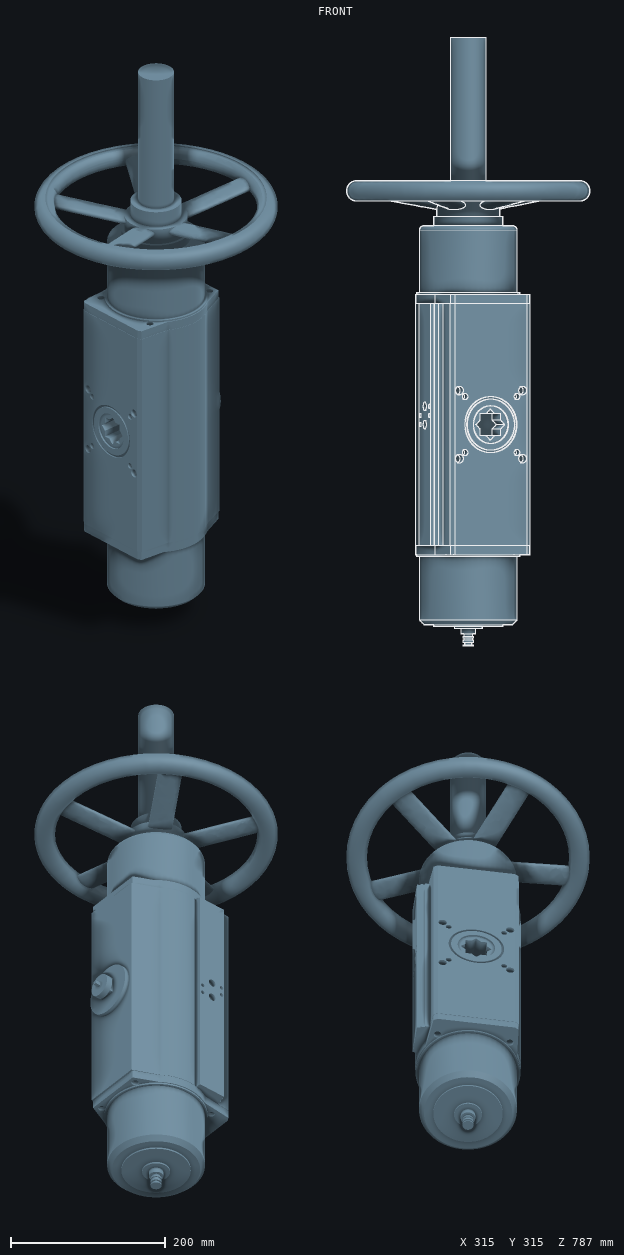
import cadquery as cq
import math

TURN = 22.0

HOUSING_BOTTOM = 118.0
HOUSING_TOP = 455.0
CAP_THICKNESS = 12.0
PORT_LEVEL = (HOUSING_BOTTOM + HOUSING_TOP) / 2
CYLINDER_TOP = 544.0
COLLAR_TOP = 556.0
HUB_SHOULDER = 577.0
HUB_TOP = 598.0
ROD_TOP = 787.0
CYLINDER_BOTTOM = 27.5

FRONT = 79.0
FRONT_HALF = 50.0
SHOULDER_HALF = 56.0
SHOULDER_FORWARD = 75.5
BARREL_RADIUS = 68.5
BARREL_FRONT = 33.0
BARREL_REAR = -40.0
FLAT_FORWARD = -29.0
REAR = -75.0
REAR_HALF = 40.0
CAP_REAR = -72.5
CAP_INSET = 0.4

PAD_ACROSS = -74.0
PAD_REAR = 12.5
PAD_FRONT = 53.0
PAD_CENTRE = 33.0
PAD_STEP = 1.5
PAD_STEP_ACROSS = (-69.0, -64.0)
RELIEF_ACROSS = -64.5
RELIEF_WIDTH = 5.5
PAD_PORT_LEVEL = 298.0
PAD_PORT_SPACING = 24.0
PAD_PORT_RADIUS = 5.5
PAD_PIN_OFFSET = 16.0
PAD_PIN_SPACING = 12.0
PAD_PIN_RADIUS = 2.75
PAD_HOLE_DEPTH = 6.0

RING_OUTER = 36.0
RING_INNER = 33.0
RING_DEPTH = 2.0
RECESS_RADIUS = 24.5
DRIVE_SIDE = 28.0
DRIVE_DEPTH = 31.5
OUTER_BOLT_OFFSET = 44.0
OUTER_BOLT_RADIUS = 5.5
INNER_BOLT_OFFSET = 36.0
INNER_BOLT_RADIUS = 4.0
BOLT_DEPTH = 12.0

DIAL_RADIUS = 35.5
DIAL_END = 81.0
NECK_SIDE = 22.0
KNOB_RADIUS = 16.0
KNOB_START = 86.5
KNOB_END = 95.0
TAB_SIDE = 5.0
TAB_END = 103.0

CAP_SCREW_PLACES = [(47.0, 53.5), (-47.0, 53.5), (34.0, -63.0), (-34.0, -63.0)]
CAP_SCREW_RADIUS = 5.0
CAP_SCREW_DEPTH = 6.0

CYLINDER_RADIUS = 127.0 / 2
CYLINDER_EDGE = 6.0
GASKET_RADIUS = 67.0
GASKET_THICKNESS = 2.0
COLLAR_RADIUS = 45.0

WHEEL_RADIUS = 157.5
RIM_RADIUS = 13.0
RIM_LEVEL = 589.0
RIM_STEP_RADIUS = 143.0
RIM_STEP_LEVEL = 600.5
HUB_RADIUS = 41.0
HUB_TOP_RADIUS = 33.0
ROD_RADIUS = 46.5 / 2
SPOKE_COUNT = 5
SPOKE_START_ANGLE = 26.5
SPOKE_HALF_WIDTH = 16.0
SPOKE_HALF_HEIGHT = 6.0
SPOKE_INNER = (31.5, 569.0)
SPOKE_OUTER = (135.0, 588.0)


def disc(radius, bottom, top):
    """Solid cylinder on the main axis between two levels."""
    return cq.Workplane("XY").workplane(offset=bottom).circle(radius).extrude(top - bottom)


def barrel_across(forward, radius=BARREL_RADIUS):
    """Half width of a round barrel at a given forward distance."""
    return math.sqrt(radius**2 - forward**2)


def flank_across(forward):
    """Half width on the straight flank between the barrel and the front shoulder."""
    foot = barrel_across(BARREL_FRONT)
    share = (forward - BARREL_FRONT) / (SHOULDER_FORWARD - BARREL_FRONT)
    return foot + share * (SHOULDER_HALF - foot)


def front_face(distance):
    """Plane parallel to the front face at a distance from the axis; local X is across, Y is up."""
    return cq.Workplane("XZ", origin=(0, -distance, PORT_LEVEL))


def rear_face(distance):
    """Plane parallel to the rear face at a distance behind the axis, facing backwards."""
    return cq.Workplane("XZ", origin=(0, distance, PORT_LEVEL))


def end_cap(bottom):
    """Cap with a section slightly inside the housing body, symmetric across the front."""
    radius = BARREL_RADIUS - CAP_INSET
    shoulder = SHOULDER_HALF - CAP_INSET
    front = FRONT - CAP_INSET
    front_across = barrel_across(BARREL_FRONT, radius)
    rear_across = barrel_across(BARREL_REAR, radius)
    return (
        cq.Workplane("XY").workplane(offset=bottom)
        .moveTo(-FRONT_HALF, -front)
        .lineTo(FRONT_HALF, -front)
        .lineTo(shoulder, -SHOULDER_FORWARD)
        .lineTo(front_across, -BARREL_FRONT)
        .threePointArc((radius, 0), (rear_across, -BARREL_REAR))
        .lineTo(REAR_HALF, -CAP_REAR)
        .lineTo(-REAR_HALF, -CAP_REAR)
        .lineTo(-rear_across, -BARREL_REAR)
        .threePointArc((-radius, 0), (-front_across, -BARREL_FRONT))
        .lineTo(-shoulder, -SHOULDER_FORWARD)
        .close()
        .extrude(CAP_THICKNESS)
    )


def housing_body():
    bottom = HOUSING_BOTTOM + CAP_THICKNESS
    height = HOUSING_TOP - HOUSING_BOTTOM - 2 * CAP_THICKNESS
    flat_across = barrel_across(FLAT_FORWARD)
    rear_across = barrel_across(BARREL_REAR)
    relief_rear = PAD_REAR - RELIEF_WIDTH
    relief_across = barrel_across(relief_rear)
    outline = (
        cq.Workplane("XY").workplane(offset=bottom)
        .moveTo(-FRONT_HALF, -FRONT)
        .lineTo(FRONT_HALF, -FRONT)
        .lineTo(SHOULDER_HALF, -SHOULDER_FORWARD)
        .lineTo(barrel_across(BARREL_FRONT), -BARREL_FRONT)
        .threePointArc((BARREL_RADIUS, 0), (flat_across, -FLAT_FORWARD))
        .lineTo(rear_across, -BARREL_REAR)
        .lineTo(REAR_HALF, -REAR)
        .lineTo(-REAR_HALF, -REAR)
        .lineTo(-rear_across, -BARREL_REAR)
        .lineTo(-flat_across, -FLAT_FORWARD)
        .threePointArc((-BARREL_RADIUS, 0), (-relief_across, -relief_rear))
        .lineTo(RELIEF_ACROSS, -PAD_REAR)
        .lineTo(PAD_ACROSS, -PAD_REAR)
    )
    forward = PAD_FRONT
    outline = outline.lineTo(PAD_ACROSS, -forward)
    for across in PAD_STEP_ACROSS:
        outline = outline.lineTo(across, -forward)
        forward += PAD_STEP
        outline = outline.lineTo(across, -forward)
    return (
        outline.lineTo(-flank_across(forward), -forward)
        .lineTo(-SHOULDER_HALF, -SHOULDER_FORWARD)
        .close()
        .extrude(height)
    )


def pad_holes():
    pad = cq.Workplane("YZ", origin=(PAD_ACROSS, -PAD_CENTRE, PAD_PORT_LEVEL))
    ports = [(0, PAD_PORT_SPACING / 2), (0, -PAD_PORT_SPACING / 2)]
    pins = [
        (PAD_PIN_OFFSET, 0),
        (PAD_PIN_OFFSET, -PAD_PIN_SPACING),
        (-PAD_PIN_OFFSET, 0),
        (-PAD_PIN_OFFSET, PAD_PIN_SPACING),
    ]
    port_holes = pad.pushPoints(ports).circle(PAD_PORT_RADIUS).extrude(PAD_HOLE_DEPTH)
    pin_holes = pad.pushPoints(pins).circle(PAD_PIN_RADIUS).extrude(PAD_HOLE_DEPTH)
    return port_holes.union(pin_holes)


def square_of_holes(offset, radius):
    """Four blind bolt holes at the corners of a square on the front face."""
    return (
        front_face(FRONT).rect(2 * offset, 2 * offset, forConstruction=True)
        .vertices().circle(radius).extrude(-BOLT_DEPTH)
    )


def front_cuts():
    groove = front_face(FRONT).circle(RING_OUTER).circle(RING_INNER).extrude(-RING_DEPTH)
    recess = front_face(FRONT).circle(RECESS_RADIUS).extrude(-RING_DEPTH)
    cuts = groove.union(recess)
    for angle in (0, 45):
        socket = front_face(FRONT).transformed(rotate=(0, 0, angle))
        cuts = cuts.union(socket.rect(DRIVE_SIDE, DRIVE_SIDE).extrude(-DRIVE_DEPTH))
    cuts = cuts.union(square_of_holes(OUTER_BOLT_OFFSET, OUTER_BOLT_RADIUS))
    return cuts.union(square_of_holes(INNER_BOLT_OFFSET, INNER_BOLT_RADIUS))


def rear_shaft():
    dial = rear_face(DIAL_END).circle(DIAL_RADIUS).extrude(DIAL_END + CAP_REAR)
    neck = rear_face(KNOB_END).rect(NECK_SIDE, NECK_SIDE).extrude(KNOB_END + CAP_REAR)
    knob = rear_face(KNOB_END).circle(KNOB_RADIUS).extrude(KNOB_END - KNOB_START)
    tab = rear_face(TAB_END).rect(TAB_SIDE, TAB_SIDE).extrude(TAB_END - KNOB_START)
    return dial.union(neck).union(knob).union(tab)


def cap_screw_holes(start, depth):
    places = [(across, -forward) for across, forward in CAP_SCREW_PLACES]
    face = cq.Workplane("XY").workplane(offset=start)
    return face.pushPoints(places).circle(CAP_SCREW_RADIUS).extrude(depth)


def housing():
    body = housing_body().cut(pad_holes()).cut(front_cuts())
    body = body.union(end_cap(HOUSING_BOTTOM)).union(end_cap(HOUSING_TOP - CAP_THICKNESS))
    body = body.union(rear_shaft())
    body = body.cut(cap_screw_holes(HOUSING_TOP, -CAP_SCREW_DEPTH))
    body = body.cut(cap_screw_holes(HOUSING_BOTTOM, CAP_SCREW_DEPTH))
    return body.rotate((0, 0, 0), (0, 0, 1), TURN)


def cylinders():
    upper = disc(CYLINDER_RADIUS, HOUSING_TOP, CYLINDER_TOP).faces(">Z").edges().fillet(CYLINDER_EDGE)
    lower = disc(CYLINDER_RADIUS, CYLINDER_BOTTOM, HOUSING_BOTTOM)
    lower = lower.faces("<Z").edges().chamfer(CYLINDER_EDGE)
    upper_gasket = disc(GASKET_RADIUS, HOUSING_TOP, HOUSING_TOP + GASKET_THICKNESS)
    lower_gasket = disc(GASKET_RADIUS, HOUSING_BOTTOM - GASKET_THICKNESS, HOUSING_BOTTOM)
    return upper.union(lower).union(upper_gasket).union(lower_gasket)


def stop_screw():
    lengths = [
        (45.0, 25.0, CYLINDER_BOTTOM),
        (18.0, 23.0, 25.0),
        (9.5, 16.0, 23.0),
        (5.5, 12.5, 16.0),
        (7.0, 10.0, 12.5),
        (5.5, 8.0, 10.0),
        (7.0, 5.0, 8.0),
        (5.0, 1.5, 5.0),
        (7.0, 0.0, 1.5),
    ]
    screw = disc(*lengths[0])
    for length in lengths[1:]:
        screw = screw.union(disc(*length))
    return screw


def rim():
    rim_centre = WHEEL_RADIUS - RIM_RADIUS
    ring = (
        cq.Workplane("XZ").center(-rim_centre, RIM_LEVEL).circle(RIM_RADIUS)
        .revolve(360, (rim_centre, 0, 0), (rim_centre, 1, 0))
    )
    return ring.cut(disc(RIM_STEP_RADIUS, RIM_STEP_LEVEL, RIM_LEVEL + RIM_RADIUS))


def spoke(angle):
    """Oval bar rising from the hub to the rim."""
    run = SPOKE_OUTER[0] - SPOKE_INNER[0]
    rise = SPOKE_OUTER[1] - SPOKE_INNER[1]
    start = cq.Plane(
        origin=(SPOKE_INNER[0], 0, SPOKE_INNER[1]), xDir=(0, 1, 0), normal=(run, 0, rise)
    )
    bar = cq.Workplane(start).ellipse(SPOKE_HALF_WIDTH, SPOKE_HALF_HEIGHT).extrude(math.hypot(run, rise))
    return bar.rotate((0, 0, 0), (0, 0, 1), angle)


def handwheel():
    wheel = rim()
    for index in range(SPOKE_COUNT):
        wheel = wheel.union(spoke(SPOKE_START_ANGLE + index * 360 / SPOKE_COUNT))
    wheel = wheel.union(disc(HUB_RADIUS, COLLAR_TOP, HUB_SHOULDER))
    wheel = wheel.union(disc(HUB_TOP_RADIUS, HUB_SHOULDER, HUB_TOP))
    wheel = wheel.union(disc(COLLAR_RADIUS, CYLINDER_TOP, COLLAR_TOP))
    return wheel.union(disc(ROD_RADIUS, HUB_TOP, ROD_TOP))


result = housing().union(cylinders()).union(stop_screw()).union(handwheel())